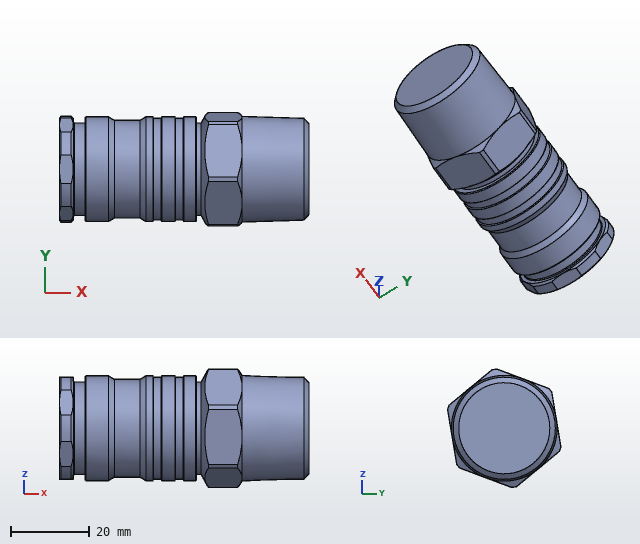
import cadquery as cq
import math

total_length = 63.65

cap_length = 3.55
cap_diameter = 27.05
cap_across_flats = 26.0
cap_face_diameter = 25.95
cap_front_chamfer_length = 0.4
cap_back_chamfer_length = 0.6

neck_diameter = 23.7
neck_cone_diameter = 24.0
neck_cone_end = 3.9

sleeve_start = 6.55
sleeve_end = 35.0
sleeve_diameter = 26.8
sleeve_chamfer = 0.25
waist_diameter = 25.0
waist_start = 14.0
waist_end = 20.55
waist_taper_length = 1.5
groove_diameter = 26.0
groove_width = 2.3
groove_wall_run = 0.2
groove_starts = (23.8, 29.4)

hex_start = 36.15
hex_end = 46.6
hex_across_flats = 27.0
hex_corner_diameter = 30.5
hex_turn = -20.5
hex_front_diameter = neck_diameter
hex_front_bevel_length = 1.85
hex_back_diameter = 27.0
hex_back_bevel_length = 1.15

pipe_large_diameter = 27.0
pipe_small_diameter = 26.0
pipe_end_diameter = 23.2
pipe_chamfer_length = 1.35


def turned(points):
    """Revolve (x, diameter) points around the X axis, closed along the axis."""
    outline = [(x, diameter / 2) for x, diameter in points]
    closed = [(outline[0][0], 0), *outline, (outline[-1][0], 0)]
    return cq.Workplane("XY").polyline(closed).close().revolve(360, (0, 0, 0), (1, 0, 0))


def hex_bar(across_flats, start, end, turn):
    """Hexagonal bar along X; a zero turn leaves two flats facing +Z and -Z."""
    across_corners = across_flats / math.cos(math.pi / 6)
    bar = cq.Workplane("YZ", origin=(start, 0, 0)).polygon(6, across_corners).extrude(end - start)
    return bar.rotate((0, 0, 0), (1, 0, 0), turn)


def make_cap():
    blank = turned([
        (0, cap_face_diameter),
        (cap_front_chamfer_length, cap_diameter),
        (cap_length - cap_back_chamfer_length, cap_diameter),
        (cap_length, cap_face_diameter),
    ])
    return blank.intersect(hex_bar(cap_across_flats, 0, cap_length, 0))


def make_necks():
    cone = turned([(cap_length, neck_cone_diameter), (neck_cone_end, neck_diameter)])
    core = turned([(cap_length, neck_diameter), (hex_start, neck_diameter)])
    return core.union(cone)


def make_sleeve():
    edge_diameter = sleeve_diameter - 2 * sleeve_chamfer
    sleeve = turned([
        (sleeve_start, edge_diameter),
        (sleeve_start + sleeve_chamfer, sleeve_diameter),
        (waist_start - waist_taper_length, sleeve_diameter),
        (waist_start, waist_diameter),
        (waist_end, waist_diameter),
        (waist_end + waist_taper_length, sleeve_diameter),
        (sleeve_end - sleeve_chamfer, sleeve_diameter),
        (sleeve_end, edge_diameter),
    ])
    for start in groove_starts:
        end = start + groove_width
        blank = turned([(start, sleeve_diameter), (end, sleeve_diameter)])
        kept_core = turned([
            (start, sleeve_diameter),
            (start + groove_wall_run, groove_diameter),
            (end - groove_wall_run, groove_diameter),
            (end, sleeve_diameter),
        ])
        sleeve = sleeve.cut(blank.cut(kept_core))
    return sleeve


def make_hex_nut():
    blank = turned([
        (hex_start, hex_front_diameter),
        (hex_start + hex_front_bevel_length, hex_corner_diameter),
        (hex_end - hex_back_bevel_length, hex_corner_diameter),
        (hex_end, hex_back_diameter),
    ])
    return blank.intersect(hex_bar(hex_across_flats, hex_start, hex_end, hex_turn))


def make_pipe_end():
    return turned([
        (hex_end, pipe_large_diameter),
        (total_length - pipe_chamfer_length, pipe_small_diameter),
        (total_length, pipe_end_diameter),
    ])


result = make_cap()
for section in (make_necks(), make_sleeve(), make_hex_nut(), make_pipe_end()):
    result = result.union(section)